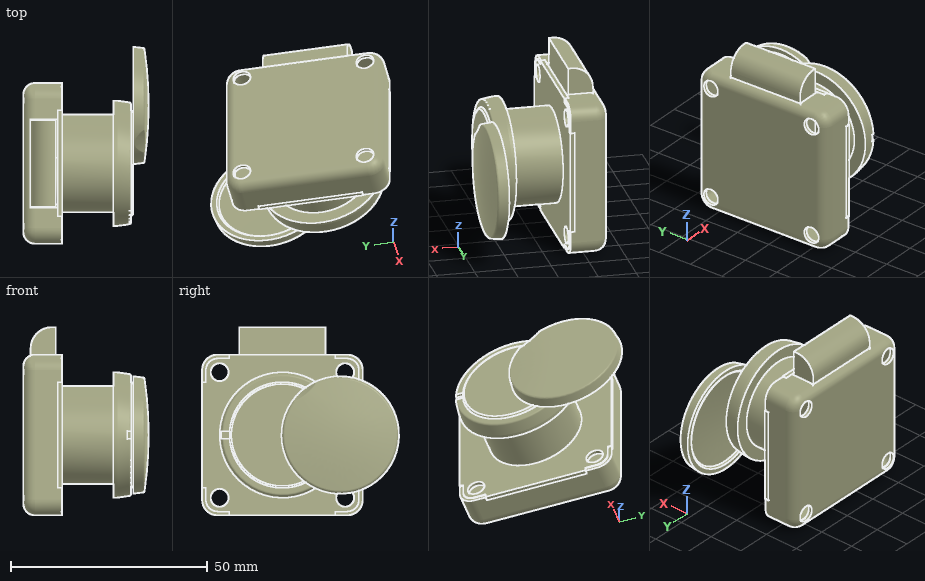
import cadquery as cq
import math


CASE_SIDE = 41.0
CASE_DEPTH = 9.8
CASE_CORNER_RADIUS = 4.0
CASE_EDGE_FILLET = 3.0
CASE_WALL = 1.0
SCREW_HOLE_DIAMETER = 4.5
SCREW_HOLE_SPACING = 32.0

PLATE_FRONT = 8.8
PLATE_BACK = 10.0
TAB_WIDTH = 27.0

BOLT_WIDTH = 22.0
BOLT_THICKNESS = 6.5
BOLT_FRONT = 1.85
BOLT_BACK = BOLT_FRONT + BOLT_THICKNESS
BOLT_THROW = 7.0
BOLT_TIP = CASE_SIDE / 2 + BOLT_THROW
BOLT_NOSE_RADIUS = 5.5
BOLT_FOOT = 0.0
BOLT_SLOT_WIDTH = 22.5

CAM_RADIUS = 5.9
CAM_OFFSET_Y = -4.5

BARREL_RADIUS = 12.5
BARREL_LENGTH = 13.0

ROSETTE_BACK = PLATE_BACK + BARREL_LENGTH
ROSETTE_RADIUS = 16.0
ROSETTE_RIM = 1.0
ROSETTE_THICKNESS = 4.5
ROSETTE_FRONT = ROSETTE_BACK + ROSETTE_THICKNESS
ROSETTE_FRONT_RADIUS = 15.5
RIM_FILLET = 0.6
PRY_SLOT_WIDTH = 2.0
PRY_SLOT_DEPTH = 1.0

LIP_HEIGHT = 0.5
CORE_RADIUS = 13.5
LIP_RADIUS = CORE_RADIUS - LIP_HEIGHT
CORE_BACK = ROSETTE_FRONT - PRY_SLOT_DEPTH
CORE_FRONT = ROSETTE_FRONT + LIP_HEIGHT

CAP_CENTRE_Y = 14.74
CAP_RADIUS = 15.0
CAP_RIM_RADIUS = 14.65
CAP_RIM_HEIGHT = 2.9
CAP_DOME_HEIGHT = 1.1
CAP_RECESS_DOME_HEIGHT = 1.0
CAP_NOTCH_ANGLE = 40.0
NOTCH_RADIUS = 20.0
NOTCH_START = 0.3
NOTCH_SLOPE = 27.0
NOTCH_EDGE_FILLET = 0.3


def centred_box(x_start, x_end, width_y, width_z):
    """Box between two X positions, centred on the lock axis."""
    return cq.Workplane("YZ", origin=(x_start, 0, 0)).rect(width_y, width_z).extrude(x_end - x_start)


def rounded_block(x_start, x_end, side, corner_radius):
    """Square block with rounded corners along X."""
    return centred_box(x_start, x_end, side, side).edges("|X").fillet(corner_radius)


def disc(x_start, x_end, radius):
    """Round disc on the lock axis."""
    return cq.Workplane("YZ", origin=(x_start, 0, 0)).circle(radius).extrude(x_end - x_start)


def screw_holes():
    """Four corner holes, long enough to pass through the case and the plate."""
    return (
        cq.Workplane("YZ")
        .rect(SCREW_HOLE_SPACING, SCREW_HOLE_SPACING, forConstruction=True)
        .vertices()
        .circle(SCREW_HOLE_DIAMETER / 2)
        .extrude(PLATE_BACK)
    )


def tabs():
    """Crossed bars whose four ends are the plate tabs in the case rim."""
    upright = centred_box(PLATE_FRONT, PLATE_BACK, TAB_WIDTH, CASE_SIDE)
    level = centred_box(PLATE_FRONT, PLATE_BACK, CASE_SIDE, TAB_WIDTH)
    return upright.union(level)


def make_case():
    """Hollow case, open at the back, with a bolt slot in its top wall."""
    shell = rounded_block(0, CASE_DEPTH, CASE_SIDE, CASE_CORNER_RADIUS)
    shell = shell.faces("<X").edges().fillet(CASE_EDGE_FILLET)

    cavity_side = CASE_SIDE - 2 * CASE_WALL
    cavity = rounded_block(CASE_WALL, CASE_DEPTH, cavity_side, CASE_CORNER_RADIUS - CASE_WALL)
    cavity = cavity.faces("<X").edges().fillet(CASE_EDGE_FILLET - CASE_WALL)

    bolt_slot = centred_box(BOLT_FRONT, PLATE_FRONT, BOLT_SLOT_WIDTH, CASE_SIDE / 2)
    bolt_slot = bolt_slot.translate((0, 0, CASE_SIDE / 2))
    return shell.cut(cavity).cut(bolt_slot).cut(tabs()).cut(screw_holes())


def make_back_plate():
    """Plate that fills the case opening, with a tab in each side of the rim."""
    plate_side = CASE_SIDE - 2 * CASE_WALL
    plate = rounded_block(PLATE_FRONT, PLATE_BACK, plate_side, CASE_CORNER_RADIUS - CASE_WALL)
    return plate.union(tabs()).cut(screw_holes())


def make_bolt():
    """Bolt with a quarter-round nose on its front side."""
    nose_start = BOLT_TIP - BOLT_NOSE_RADIUS
    nose_end = BOLT_FRONT + BOLT_NOSE_RADIUS
    arc_inset = BOLT_NOSE_RADIUS * (1 - math.sqrt(0.5))
    return (
        cq.Workplane("XZ", origin=(0, BOLT_WIDTH / 2, 0))
        .moveTo(BOLT_FRONT, BOLT_FOOT)
        .lineTo(BOLT_FRONT, nose_start)
        .threePointArc((BOLT_FRONT + arc_inset, BOLT_TIP - arc_inset), (nose_end, BOLT_TIP))
        .lineTo(BOLT_BACK, BOLT_TIP)
        .lineTo(BOLT_BACK, BOLT_FOOT)
        .close()
        .extrude(BOLT_WIDTH)
    )


def make_cam():
    """Eccentric cam disc behind the bolt."""
    return disc(BOLT_BACK, PLATE_FRONT, CAM_RADIUS).translate((0, CAM_OFFSET_Y, 0))


def make_barrel():
    """Plain barrel between the back plate and the rosette."""
    return disc(PLATE_BACK, ROSETTE_BACK, BARREL_RADIUS)


def make_rosette():
    """Tapered rosette with a core seat and a pry slot on the -Y side."""
    ring = (
        cq.Workplane("XY")
        .moveTo(ROSETTE_BACK, 0)
        .lineTo(ROSETTE_BACK, ROSETTE_RADIUS)
        .lineTo(ROSETTE_BACK + ROSETTE_RIM, ROSETTE_RADIUS)
        .lineTo(ROSETTE_FRONT, ROSETTE_FRONT_RADIUS)
        .lineTo(ROSETTE_FRONT, 0)
        .close()
        .revolve(360, (0, 0, 0), (1, 0, 0))
    )
    ring = ring.faces(">X").edges().fillet(RIM_FILLET)
    seat = disc(CORE_BACK, ROSETTE_FRONT, CORE_RADIUS)
    pry_slot = centred_box(CORE_BACK, ROSETTE_FRONT, ROSETTE_RADIUS, PRY_SLOT_WIDTH)
    pry_slot = pry_slot.translate((0, -ROSETTE_RADIUS / 2, 0))
    return ring.cut(seat).cut(pry_slot)


def make_core():
    """Core disc whose bevelled lip stands out of the rosette."""
    return disc(CORE_BACK, CORE_FRONT, CORE_RADIUS).faces(">X").edges().chamfer(LIP_HEIGHT)


def domed_disc(x_start, start_radius, side_height, dome_radius, dome_height):
    """Disc with a conical side and a spherical dome on its far face."""
    dome_start = x_start + side_height
    crown = dome_start + dome_height
    sphere_radius = (dome_radius**2 + dome_height**2) / (2 * dome_height)
    mid_radius = dome_radius / 2
    mid_drop = sphere_radius - math.sqrt(sphere_radius**2 - mid_radius**2)
    return (
        cq.Workplane("XY")
        .moveTo(x_start, 0)
        .lineTo(x_start, start_radius)
        .lineTo(dome_start, dome_radius)
        .threePointArc((crown - mid_drop, mid_radius), (crown, 0))
        .close()
        .revolve(360, (0, 0, 0), (1, 0, 0))
    )


def make_cap_blank():
    """Solid cap with its dome blended into its rim."""
    blank = domed_disc(CORE_FRONT, CAP_RADIUS, CAP_RIM_HEIGHT, CAP_RIM_RADIUS, CAP_DOME_HEIGHT)
    rim_front = CORE_FRONT + CAP_RIM_HEIGHT
    rim_edge = cq.selectors.BoxSelector(
        (rim_front - RIM_FILLET, -CAP_RADIUS, -CAP_RADIUS),
        (rim_front + RIM_FILLET, CAP_RADIUS, CAP_RADIUS),
        boundingbox=True,
    )
    return blank.edges(rim_edge).fillet(RIM_FILLET)


def cut_finger_notch(cap):
    """Cut a round groove that starts on the rim and leans inwards towards the crown."""
    slope = math.radians(NOTCH_SLOPE)
    groove_direction = cq.Vector(math.cos(slope), 0, -math.sin(slope))
    groove_start = cq.Vector(CORE_FRONT + NOTCH_START, 0, CAP_RADIUS)
    axis_shift = cq.Vector(math.sin(slope), 0, math.cos(slope)) * NOTCH_RADIUS
    groove = cq.Solid.makeCylinder(
        NOTCH_RADIUS,
        2 * CAP_RADIUS,
        groove_start + axis_shift - groove_direction * CAP_RADIUS,
        groove_direction,
    )
    notch_middle = groove_start + groove_direction * (CAP_RIM_HEIGHT / 2)
    notched = cap.cut(cq.Workplane(groove))
    notch_face = notched.faces(cq.selectors.NearestToPointSelector(notch_middle.toTuple()))
    return notch_face.edges().fillet(NOTCH_EDGE_FILLET)


def make_cap():
    """Domed cap, hollow underneath, with a recess mouth that matches the bevelled lip of the core."""
    recess = domed_disc(CORE_FRONT, CORE_RADIUS, LIP_HEIGHT, LIP_RADIUS, CAP_RECESS_DOME_HEIGHT)
    cap = cut_finger_notch(make_cap_blank()).cut(recess)
    cap = cap.rotate((0, 0, 0), (1, 0, 0), CAP_NOTCH_ANGLE)
    return cap.translate((0, CAP_CENTRE_Y, 0))


case = make_case()
back_plate = make_back_plate()
bolt = make_bolt()
cam = make_cam()
barrel = make_barrel()
rosette = make_rosette()
core = make_core()
cap = make_cap()

result = cq.Compound.makeCompound(
    [
        case.val(),
        back_plate.val(),
        bolt.val(),
        cam.val(),
        barrel.val(),
        rosette.val(),
        core.val(),
        cap.val(),
    ]
)